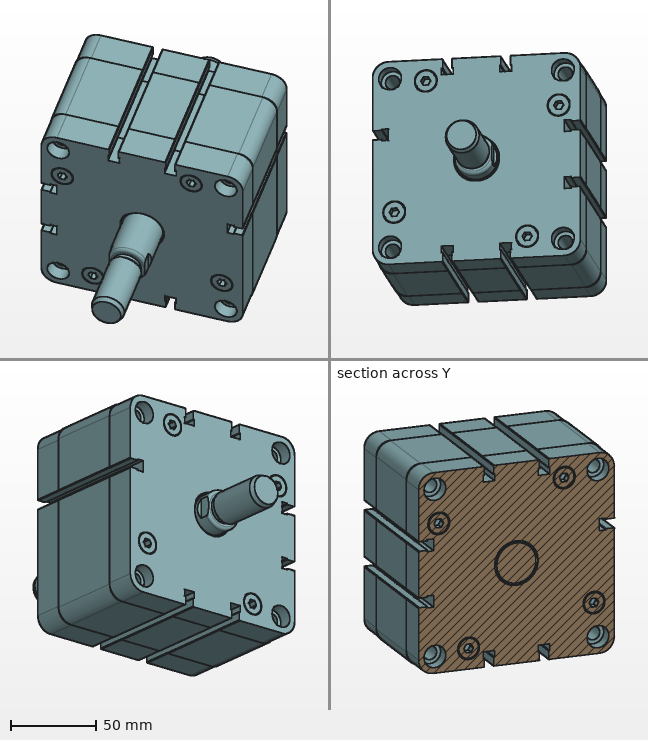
import cadquery as cq
import math

TOTAL_LENGTH = 206.5
BARREL_SIDE = 124.0
ROD_END = 40.0
BACK_REACH = 10.0
STROKE = 20.0
FRONT_REACH = BACK_REACH + STROKE
BODY_LENGTH = TOTAL_LENGTH - 2 * ROD_END - BACK_REACH - FRONT_REACH
FACE_Y = BODY_LENGTH / 2

CAP_SIDE = 123.7
CAP_LENGTH = 19.5
BARREL_LENGTH = BODY_LENGTH - 2 * CAP_LENGTH
CAP_CORNER_RADIUS = 9.5
BARREL_CORNER_RADIUS = 8.9

SLOT_OFFSET = 17.3
SLOT_NECK_WIDTH = 5.5
SLOT_NECK_DEPTH = 5.5
SLOT_HEAD_WIDTH = 7.0
SLOT_DEPTH = 9.5
SLOT_MOUTH_CHAMFER = 0.5
SLOTS = [
    (-SLOT_OFFSET, 0), (SLOT_OFFSET, 0),
    (-SLOT_OFFSET, 180), (SLOT_OFFSET, 180),
    (-SLOT_OFFSET, -90), (SLOT_OFFSET, -90),
    (-SLOT_OFFSET, 90),
]

CORNER_HOLE_OFFSET = 51.5
CORNER_HOLE_DIAMETER = 8.5
COUNTERBORE_DIAMETER = 13.5
COUNTERBORE_DEPTH = 8.5

SCREW_X = 30.1
SCREW_Z = 49.0
SCREW_POCKET_DIAMETER = 13.5
SCREW_HEAD_DIAMETER = 12.5
SCREW_POCKET_DEPTH = 5.2
SOCKET_ACROSS_FLATS = 5.0
SOCKET_DEPTH = 5.2

ROD_DIAMETER = 25.0
ROD_BORE_DIAMETER = 27.0
ROD_BORE_DEPTH = 1.0
THREAD_DIAMETER = 20.0
NECK_DIAMETER = 17.5
TIP_DIAMETER = 17.5
TIP_CHAMFER_LENGTH = 3.0
NECK_LENGTH = 2.9
THREAD_RUNOUT = 0.6
SHOULDER_FILLET = 2.0
WRENCH_ACROSS_FLATS = 21.9
WRENCH_FLAT_LENGTH = 7.0


def t_slot(side, length, offset, angle):
    """Slot cutter open at the +Z face of a square prism, then turned by angle about Y."""
    top = side / 2
    neck = SLOT_NECK_WIDTH / 2
    head = SLOT_HEAD_WIDTH / 2
    half_outline = [
        (neck + SLOT_MOUTH_CHAMFER, top),
        (neck, top - SLOT_MOUTH_CHAMFER),
        (neck, top - SLOT_NECK_DEPTH),
        (head, top - SLOT_NECK_DEPTH),
        (head, top - SLOT_DEPTH),
    ]
    other_half = [(-x, z) for x, z in reversed(half_outline)]
    slot = cq.Workplane("XZ").polyline(half_outline + other_half).close()
    slot = slot.extrude(length / 2, both=True)
    return slot.translate((offset, 0, 0)).rotate((0, 0, 0), (0, 1, 0), angle)


def slotted_prism(side, length, corner_radius):
    """Square prism with rounded long edges and T-slots, centred on the origin."""
    prism = cq.Workplane("XY").box(side, length, side).edges("|Y").fillet(corner_radius)
    for offset, angle in SLOTS:
        prism = prism.cut(t_slot(side, length, offset, angle))
    return prism


def front_disc(diameter, depth):
    """Cylinder sunk into the front face to the given depth, on the Y axis."""
    face = cq.Workplane("XZ", origin=(0, -FACE_Y, 0))
    return face.circle(diameter / 2).extrude(-depth)


def add_corner_holes(body):
    drill = front_disc(CORNER_HOLE_DIAMETER, BODY_LENGTH)
    counterbore = front_disc(COUNTERBORE_DIAMETER, COUNTERBORE_DEPTH)
    cutter = drill.union(counterbore).union(counterbore.mirror("XZ"))
    for x in (-CORNER_HOLE_OFFSET, CORNER_HOLE_OFFSET):
        for z in (-CORNER_HOLE_OFFSET, CORNER_HOLE_OFFSET):
            body = body.cut(cutter.translate((x, 0, z)))
    return body


def add_screws(body):
    """Cut the gap around each screw head and its hexagon socket, in both caps."""
    gap = front_disc(SCREW_POCKET_DIAMETER, SCREW_POCKET_DEPTH).cut(
        front_disc(SCREW_HEAD_DIAMETER, SCREW_POCKET_DEPTH)
    )
    across_corners = SOCKET_ACROSS_FLATS / math.cos(math.pi / 6)
    socket = (
        cq.Workplane("XZ", origin=(0, -FACE_Y, 0))
        .polygon(6, across_corners)
        .extrude(-SOCKET_DEPTH)
    )
    for quarter in range(4):
        turn = math.pi / 2 * quarter
        x = SCREW_X * math.cos(turn) - SCREW_Z * math.sin(turn)
        z = SCREW_X * math.sin(turn) + SCREW_Z * math.cos(turn)
        for cutter in (gap.translate((x, 0, z)), socket.translate((x, 0, z))):
            body = body.cut(cutter).cut(cutter.mirror("XZ"))
    return body


def rod_half(reach):
    """Rod from the body centre out through the front face, shoulder at reach."""
    shoulder = FACE_Y + reach
    tip = shoulder + ROD_END
    neck_end = shoulder + NECK_LENGTH
    rod_radius = ROD_DIAMETER / 2
    thread_radius = THREAD_DIAMETER / 2
    neck_radius = NECK_DIAMETER / 2
    fillet_radius = rod_radius - SHOULDER_FILLET
    fillet_y = shoulder - SHOULDER_FILLET
    diagonal = SHOULDER_FILLET * math.sqrt(0.5)
    rod = (
        cq.Workplane("XY")
        .lineTo(rod_radius, 0)
        .lineTo(rod_radius, -fillet_y)
        .threePointArc(
            (fillet_radius + diagonal, -(fillet_y + diagonal)),
            (fillet_radius, -shoulder),
        )
        .lineTo(neck_radius, -shoulder)
        .lineTo(neck_radius, -neck_end)
        .lineTo(thread_radius, -(neck_end + THREAD_RUNOUT))
        .lineTo(thread_radius, -(tip - TIP_CHAMFER_LENGTH))
        .lineTo(TIP_DIAMETER / 2, -tip)
        .lineTo(0, -tip)
        .close()
        .revolve(360, (0, 0, 0), (0, 1, 0))
    )

    flat_x = WRENCH_ACROSS_FLATS / 2
    flat_start = shoulder - WRENCH_FLAT_LENGTH
    slope = rod_radius - flat_x
    flat_cutter = (
        cq.Workplane("XY")
        .polyline([
            (flat_x, -shoulder),
            (flat_x, -flat_start),
            (rod_radius, -(flat_start - slope)),
            (rod_radius, -shoulder),
        ])
        .close()
        .extrude(rod_radius, both=True)
    )
    return rod.cut(flat_cutter).cut(flat_cutter.mirror("YZ"))


cap = slotted_prism(CAP_SIDE, CAP_LENGTH, CAP_CORNER_RADIUS)
cap = cap.translate((0, CAP_LENGTH / 2 - FACE_Y, 0))
barrel = slotted_prism(BARREL_SIDE, BARREL_LENGTH, BARREL_CORNER_RADIUS)
body = barrel.union(cap).union(cap.mirror("XZ"))

body = add_corner_holes(body)
body = add_screws(body)

rod_bore = front_disc(ROD_BORE_DIAMETER, ROD_BORE_DEPTH)
body = body.cut(rod_bore).cut(rod_bore.mirror("XZ"))

result = body.union(rod_half(FRONT_REACH)).union(rod_half(BACK_REACH).mirror("XZ"))